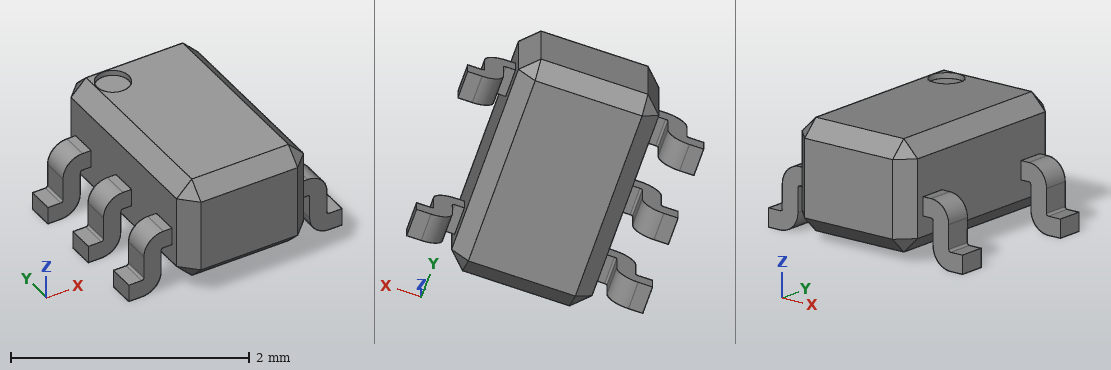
import cadquery as cq

overall_span = 2.1
body_width = 1.25
body_length = 2.0
body_height = 1.0
standoff = 0.1
edge_chamfer = 0.15

lead_thickness = 0.17
lead_width = 0.25
lead_pitch = 0.65
inner_bend_radius = 0.02
outer_bend_radius = inner_bend_radius + lead_thickness
foot_overhang = 0.15

marker_diameter = 0.313
marker_inset = marker_diameter
marker_sink = 0.05
marker_thickness = 0.05

body_top = standoff + body_height
lead_top = standoff + body_height / 2
marker_x = marker_inset - body_width / 2
marker_y = body_length / 2 - marker_inset
recess_depth = marker_sink + marker_thickness
recess_floor = body_top - recess_depth

LEFT = -1
RIGHT = 1
lead_places = [(LEFT, 1), (LEFT, 0), (LEFT, -1), (RIGHT, 1), (RIGHT, -1)]


def marker_cylinder(height):
    """Cylinder of the marker's diameter standing on the recess floor."""
    base = cq.Workplane("XY", origin=(marker_x, marker_y, recess_floor))
    return base.circle(marker_diameter / 2).extrude(height)


def make_housing():
    """Box chamfered on every edge, with a round recess for the marker."""
    block = cq.Workplane("XY").box(body_width, body_length, body_height, centered=(True, True, False))
    block = block.edges().chamfer(edge_chamfer)
    block = block.translate((0, 0, standoff))
    return block.cut(marker_cylinder(recess_depth))


def make_marker():
    """Disc at the bottom of the recess."""
    return marker_cylinder(marker_thickness)


def make_lead(side, row):
    """S-shaped strip from the body's side face down to its foot."""
    root_x = side * body_width / 2
    toe_x = side * overall_span / 2
    upright_outer_x = toe_x - side * foot_overhang
    upright_inner_x = upright_outer_x - side * lead_thickness
    lead_underside = lead_top - lead_thickness

    outline = [
        (root_x, lead_top),
        (upright_outer_x, lead_top),
        (upright_outer_x, lead_thickness),
        (toe_x, lead_thickness),
        (toe_x, 0),
        (upright_inner_x, 0),
        (upright_inner_x, lead_underside),
        (root_x, lead_underside),
    ]
    centre_y = row * lead_pitch
    profile_plane = cq.Workplane("XZ", origin=(0, centre_y, 0))
    strip = profile_plane.polyline(outline).close().extrude(lead_width / 2, both=True)

    def bend_edge(x, z):
        return cq.selectors.NearestToPointSelector((x, centre_y, z))

    strip = strip.edges("|Y").edges(bend_edge(upright_outer_x, lead_top)).fillet(outer_bend_radius)
    strip = strip.edges("|Y").edges(bend_edge(upright_inner_x, 0)).fillet(outer_bend_radius)
    strip = strip.edges("|Y").edges(bend_edge(upright_outer_x, lead_thickness)).fillet(inner_bend_radius)
    return strip.edges("|Y").edges(bend_edge(upright_inner_x, lead_underside)).fillet(inner_bend_radius)


housing = make_housing()
marker = make_marker()
leads = [make_lead(side, row) for side, row in lead_places]

result = cq.Compound.makeCompound([
    housing.val(),
    marker.val(),
    *[lead.val() for lead in leads],
])